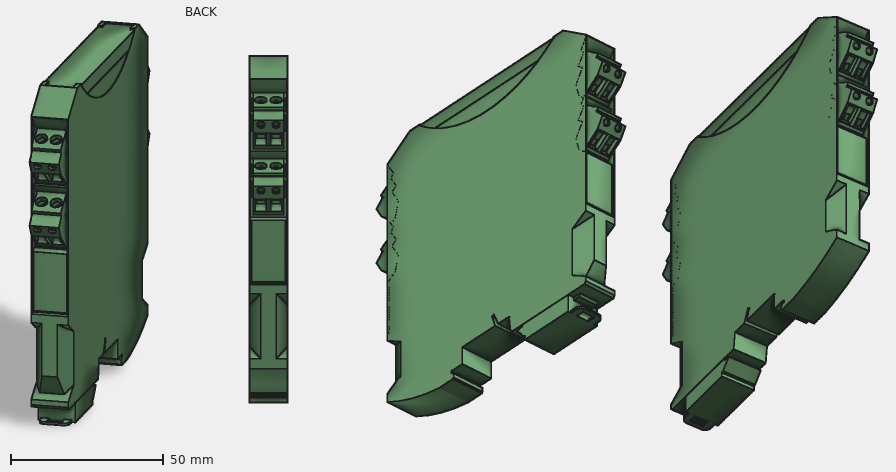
import cadquery as cq
import math


WIDTH = 12.6
HALF_WIDTH = WIDTH / 2
HEIGHT = 113.7
HALF_DEPTH = 49.5
BASE_Z = 6.7
SLOPE = math.radians(33.8)

SHOULDER_OUT = 38.2
SHOULDER_Z = HEIGHT - (HALF_DEPTH - SHOULDER_OUT) * math.tan(SLOPE)
COVER_Z = 113.2
COVER_END = 37.7
TONGUE_WIDTH = 9.5
TONGUE_BOTTOM = 108.2
LENS_HALF = 33.3
LENS_BOTTOM = 101.5
LIP_SETBACK = 0.1

RECESS_WIDTH = 11.8
PLUG_PITCH = 21.6
PLUG_ROWS = 2
CEILING_MOUTH = (HALF_DEPTH, 106.0)
SOCKET_FLOOR_Z = 82.4
SOCKET_FLOOR_OUT = 46.0
RIB_OUT = 48.3
LABEL_FIELD_OUT = 48.9
LABEL_FIELD_TOP = 59.8
LABEL_FIELD_BOTTOM = 39.2
LABEL_LEDGE_OUT = 47.2
LABEL_SILL_Z = 38.7
LABEL_WIDTH = 11.1
LABEL_BOTTOM = 39.7
LABEL_DEPTH = 0.1
SOCKET_STEPS = [(46.8, 101.6), (48.0, 99.8), (45.3, 95.6), (47.5, 94.3), (44.2, 89.0)]

PLUG_WIDTH = 10.0
POLES = (-2.5, 2.5)
SCREW_RADIUS = 1.9
SCREW_DEPTH = 2.2
SCREW_CENTRE = (50.6, 99.4)
SLOT_WIDTH = 0.8
SLOT_DEPTH = 0.8
SLOT_ANGLE = 45
TEST_RADIUS = 1.3
TEST_DEPTH = 1.1
TEST_CENTRE = (55.54, 91.1)
FUNNEL_WIDTH = 3.6
WIRE_WIDTH = 2.7
PLUG_BOTTOM = 83.2
PLUG_FACE = [
    (47.8, PLUG_BOTTOM), (48.4, 84.3), (53.9, 88.3), (56.34, 92.5),
    (53.1, 95.7), (53.7, 96.0), (54.1, 96.9),
]
FUNNEL_PROFILE = [(49.2, 83.5), (47.4, 86.8), (51.7, 89.6), (54.6, 87.9)]
WIRE_PROFILE = [(47.4, 86.8), (45.0, 88.3), (46.5, 90.5), (48.9, 88.9), (50.0, 86.8)]

GRIP_INNER_OUT = 42.8
GRIP_RIB_HALF = 2.6
GRIP_TOP_INNER = 31.8
GRIP_TOP_OUTER = 35.7
FRONT_GRIP_BOTTOM = (13.4, 9.4)
BACK_GRIP_BOTTOM = (18.4, 14.4)

FOOT_FRONT = -40.7
TAB_WIDTH = 7.7
EYE_WIDTH = 10.2
EYE_TIP = -45.3
EYE_RADIUS = 2.3
EYE_THICKNESS = 0.8
EYE_FRONT_RIM = 1.5
EYE_SIDE_RIM = 2.6


def prism(points, width):
    """Solid of a closed (y, z) outline, centred on X = 0."""
    return cq.Workplane("YZ").polyline(points).close().extrude(width / 2, both=True)


def at_end(points, end):
    """Turn (out, z) points into (y, z) points at the end given by the sign `end`."""
    return [(end * out, z) for out, z in points]


def lowered(points, drop):
    return [(out, z - drop) for out, z in points]


def housing_block():
    """Housing outline with the rail cut-out, the hook behind it and the spring slit."""
    outline = (
        cq.Workplane("YZ")
        .moveTo(-SHOULDER_OUT, HEIGHT)
        .lineTo(SHOULDER_OUT, HEIGHT)
        .lineTo(HALF_DEPTH, SHOULDER_Z)
        .lineTo(HALF_DEPTH, 11.1)
        .threePointArc((37.2, 6.1), (23.6, 3.2))
        .lineTo(16.7, 3.2)
        .lineTo(16.4, 3.6)
        .lineTo(16.4, 5.2)
        .lineTo(17.6, 6.0)
        .lineTo(17.6, BASE_Z)
        .lineTo(12.0, BASE_Z)
        .lineTo(12.0, 13.4)
        .lineTo(-4.3, 13.4)
        .lineTo(-2.7, 17.9)
        .lineTo(-3.6, 18.3)
        .lineTo(-5.8, 13.4)
        .lineTo(-11.3, 13.4)
        .lineTo(-12.0, BASE_Z)
        .lineTo(-48.8, BASE_Z)
        .lineTo(-HALF_DEPTH, 7.6)
        .lineTo(-HALF_DEPTH, SHOULDER_Z)
        .close()
    )
    return outline.extrude(HALF_WIDTH, both=True)


def socket_back(row):
    """Back of one socket, from its ceiling steps down to its floor."""
    steps = SOCKET_STEPS + [(SOCKET_FLOOR_OUT, SOCKET_FLOOR_Z)]
    return lowered(steps, row * PLUG_PITCH)


def terminal_recess(end):
    """Recess of an end face: two stepped sockets above the label field."""
    lower_floor_z = SOCKET_FLOOR_Z - PLUG_PITCH
    outline = [CEILING_MOUTH]
    outline += socket_back(0)
    outline += [(RIB_OUT, SOCKET_FLOOR_Z)]
    outline += socket_back(1)
    outline += [
        (LABEL_LEDGE_OUT, lower_floor_z),
        (LABEL_FIELD_OUT, LABEL_FIELD_TOP),
        (LABEL_FIELD_OUT, LABEL_FIELD_BOTTOM),
        (HALF_DEPTH, LABEL_SILL_Z),
    ]
    return prism(at_end(outline, end), RECESS_WIDTH)


def label_pocket(end):
    """Shallow pocket for the label, a little narrower than the field around it."""
    back = LABEL_FIELD_OUT - LABEL_DEPTH
    outline = [
        (LABEL_FIELD_OUT, LABEL_BOTTOM),
        (back, LABEL_BOTTOM),
        (back, LABEL_FIELD_TOP),
        (LABEL_FIELD_OUT, LABEL_FIELD_TOP),
    ]
    return prism(at_end(outline, end), LABEL_WIDTH)


def grip_cut(end, bottom):
    """Wedges taken off both vertical corners of an end, leaving a narrow rib between them."""
    bottom_inner, bottom_outer = bottom
    side_profile = prism(
        at_end(
            [
                (GRIP_INNER_OUT, GRIP_TOP_INNER),
                (HALF_DEPTH, GRIP_TOP_OUTER),
                (HALF_DEPTH, bottom_outer),
                (GRIP_INNER_OUT, bottom_inner),
            ],
            end,
        ),
        WIDTH,
    )
    wedges = cq.Workplane("XY")
    for side in (-1, 1):
        plan = [
            (side * HALF_WIDTH, end * GRIP_INNER_OUT),
            (side * HALF_WIDTH, end * HALF_DEPTH),
            (side * GRIP_RIB_HALF, end * HALF_DEPTH),
        ]
        wedges = wedges.add(cq.Workplane("XY").polyline(plan).close().extrude(HEIGHT))
    return wedges.combine().intersect(side_profile)


def nose_notch():
    """Notch that undercuts the front rib above the nose of the release lever."""
    bottom_inner, bottom_outer = FRONT_GRIP_BOTTOM
    notch_out = 46.6
    slope = (bottom_inner - bottom_outer) / (HALF_DEPTH - GRIP_INNER_OUT)
    notch_z = bottom_outer + slope * (HALF_DEPTH - notch_out)
    outline = [(HALF_DEPTH, 17.7), (notch_out, notch_z), (HALF_DEPTH, bottom_outer)]
    return prism(at_end(outline, -1), WIDTH)


def make_housing():
    body = housing_block().cut(cover_space())
    for end in (-1, 1):
        body = body.cut(terminal_recess(end)).cut(label_pocket(end))
    body = body.cut(grip_cut(-1, FRONT_GRIP_BOTTOM))
    body = body.cut(grip_cut(1, BACK_GRIP_BOTTOM))
    return body.cut(nose_notch())


def cover_space():
    """Full-width lens with a tongue at each end, open to the top of the housing."""
    lens = (
        cq.Workplane("YZ")
        .moveTo(-LENS_HALF, HEIGHT)
        .lineTo(-LENS_HALF, COVER_Z)
        .threePointArc((0, LENS_BOTTOM), (LENS_HALF, COVER_Z))
        .lineTo(LENS_HALF, HEIGHT)
        .close()
        .extrude(HALF_WIDTH, both=True)
    )
    tongue_height = HEIGHT - TONGUE_BOTTOM
    tongues = (
        cq.Workplane("XY")
        .box(TONGUE_WIDTH, 2 * COVER_END, tongue_height)
        .translate((0, 0, TONGUE_BOTTOM + tongue_height / 2))
    )
    return lens.union(tongues)


def make_cover():
    """Cover that stays just below the housing top and whose lower lip is set back on both sides."""
    above = cq.Workplane("XY").workplane(offset=COVER_Z).rect(WIDTH, 2 * HALF_DEPTH).extrude(HEIGHT)
    cover = cover_space().cut(above)
    lip_height = TONGUE_BOTTOM - LENS_BOTTOM
    for side in (-1, 1):
        setback = cq.Workplane("XY").box(2 * LIP_SETBACK, 2 * LENS_HALF, lip_height)
        lip_z = LENS_BOTTOM + lip_height / 2
        cover = cover.cut(setback.translate((side * HALF_WIDTH, 0, lip_z)))
    return cover


def front_plane(centre, normal_tilt):
    """Workplane on the plug front at an (out, z) point; `normal_tilt` is radians above horizontal."""
    out, z = centre
    normal = (0, -math.cos(normal_tilt), math.sin(normal_tilt))
    return cq.Workplane(cq.Plane(origin=(0, -out, z), xDir=(1, 0, 0), normal=normal))


def screw_holes():
    """Bores down to the slotted screw heads of both poles."""
    face = front_plane(SCREW_CENTRE, math.pi / 2 - SLOPE)
    poles = [(x, 0) for x in POLES]
    bores = face.pushPoints(poles).circle(SCREW_RADIUS).extrude(-SCREW_DEPTH)
    slots = (
        face.workplane(offset=-SCREW_DEPTH)
        .pushPoints(poles)
        .slot2D(2 * SCREW_RADIUS, SLOT_WIDTH, SLOT_ANGLE)
        .extrude(-SLOT_DEPTH)
    )
    return bores.union(slots)


def test_holes():
    """Shallow test-probe holes of both poles in the face below the plug's edge."""
    face = front_plane(TEST_CENTRE, -SLOPE)
    poles = [(x, 0) for x in POLES]
    return face.pushPoints(poles).circle(TEST_RADIUS).extrude(-TEST_DEPTH)


def wire_entry(x):
    """Funnel and wire hole of one pole."""
    funnel = prism(at_end(FUNNEL_PROFILE, -1), FUNNEL_WIDTH)
    wire_hole = prism(at_end(WIRE_PROFILE, -1), WIRE_WIDTH)
    return funnel.union(wire_hole).translate((x, 0, 0))


def upper_front_plug():
    """Terminal plug whose inner side follows the stepped back of its socket."""
    last_out, last_z = SOCKET_STEPS[-1]
    fall = (last_z - PLUG_BOTTOM) / (last_z - SOCKET_FLOOR_Z)
    bottom_out = last_out + fall * (SOCKET_FLOOR_OUT - last_out)
    outline = PLUG_FACE + SOCKET_STEPS + [(bottom_out, PLUG_BOTTOM)]
    plug = prism(at_end(outline, -1), PLUG_WIDTH)
    plug = plug.cut(screw_holes()).cut(test_holes())
    for x in POLES:
        plug = plug.cut(wire_entry(x))
    return plug


def make_plugs():
    """Two rows of plugs; those of the back end are front plugs turned about Z."""
    plugs = []
    for row in range(PLUG_ROWS):
        for turn in (0, 180):
            plug = upper_front_plug().translate((0, 0, -row * PLUG_PITCH))
            plugs.append(plug.rotate((0, 0, 0), (0, 0, 1), turn).val())
    return plugs


def make_foot():
    """Rail foot with a short tab under the housing and a pull eye at the bottom."""
    block = prism(
        [
            (FOOT_FRONT, 0), (-19.1, 0), (-19.1, 1.6), (-18.4, 1.8),
            (-15.0, 5.6), (-17.6, 6.0), (-17.6, BASE_Z), (FOOT_FRONT, BASE_Z),
        ],
        WIDTH,
    )
    tab = prism(
        [(FOOT_FRONT, BASE_Z), (-43.9, BASE_Z), (-43.4, 5.6), (FOOT_FRONT, 5.6)], TAB_WIDTH
    )
    reach = FOOT_FRONT - EYE_TIP
    eye_y = (FOOT_FRONT + EYE_TIP) / 2
    eye = (
        cq.Workplane("XY").box(EYE_WIDTH, reach, EYE_THICKNESS)
        .edges("|Z and <Y").fillet(EYE_RADIUS)
    )
    opening = (
        cq.Workplane("XY").box(EYE_WIDTH - 2 * EYE_SIDE_RIM, reach - EYE_FRONT_RIM, EYE_THICKNESS)
        .translate((0, EYE_FRONT_RIM / 2, 0))
    )
    eye = eye.cut(opening).translate((0, eye_y, EYE_THICKNESS / 2))
    return block.union(tab).union(eye)


housing = make_housing()
cover = make_cover()
foot = make_foot()
plugs = make_plugs()

result = cq.Compound.makeCompound([housing.val(), cover.val(), foot.val(), *plugs])